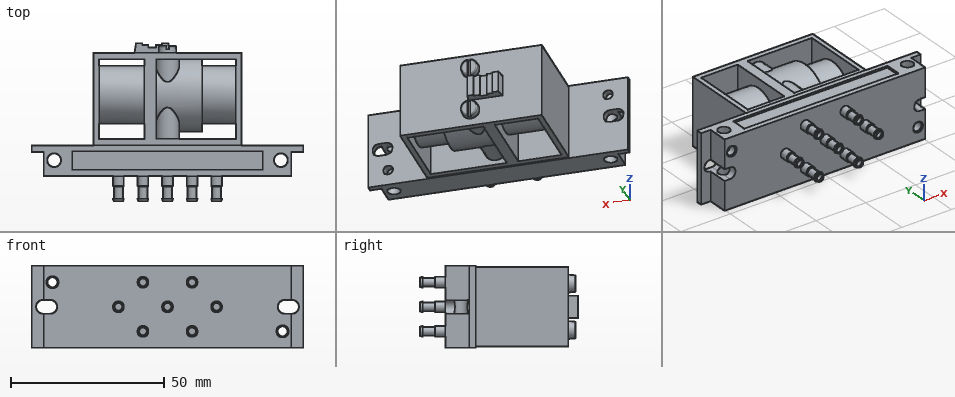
import cadquery as cq


flange_length = 88.5
flange_thickness = 2.2
block_length = 80.8
plate_depth = 10.0
plate_height = 26.8

clearance_diameter = 4.4
cross_hole_x = 36.95
cross_hole_y = -4.85
slot_x = 39.4
slot_length = 6.8
tapped_diameter = 3.24
tapped_countersink = 4.0
tapped_x = 37.5
tapped_z = 8.0
label_length = 62.1
label_width = 6.1
label_y = -4.95
label_depth = 0.7

nipple_pitch = 16.0
nipple_row_spacing = 8.0
nipple_length = 8.3
nipple_diameter = 3.6
shank_diameter = 3.0
bore_diameter = 2.5
root_length = 3.2
root_taper = 0.3
barb_start = 7.4

frame_length = 48.3
frame_depth = 30.1
frame_height = 26.0
side_wall = 1.85
end_wall = 2.1
rib_start_x = -7.55
rib_end_x = -3.6

body_y = 16.5
body_diameter = 19.0
collar_diameter = 24.3
collar_end_x = 11.3
boss_diameter = 7.7
boss_z = 7.57

head_diameter = 5.9
head_height = 2.35
head_fillet = 0.4
head_taper = 4.0
drive_width = 0.9
drive_depth = 1.1

latch_x = -5.0
latch_height = 3.2
latch_base_length = 11.6
latch_top_length = 10.6
latch_width = 7.35
latch_upper_gap = 6.4
latch_shoulder_depth = 0.6
latch_notch_length = 2.5
latch_notch_depth = 1.4


def box(x_range, y_range, z_range):
    """Box between the given (low, high) limits."""
    sizes = [high - low for low, high in (x_range, y_range, z_range)]
    corner = (x_range[0], y_range[0], z_range[0])
    return cq.Workplane("XY").box(*sizes, centered=False).translate(corner)


def centered(size):
    """Limits of a span of the given size about zero."""
    return (-size / 2, size / 2)


def rod_x(diameter, x_start, x_end):
    """Cylinder on the valve body axis."""
    plane = cq.Workplane("YZ", origin=(x_start, body_y, 0))
    return plane.circle(diameter / 2).extrude(x_end - x_start)


def rod_y(diameter, x, z, y_start, y_end):
    """Cylinder parallel to Y."""
    plane = cq.Workplane("XZ", origin=(x, y_start, z))
    return plane.circle(diameter / 2).extrude(y_start - y_end)


def tapped_hole(x, z):
    """Cutter for a tapping hole through the plate with a 90 degree countersink."""
    sink_depth = (tapped_countersink - tapped_diameter) / 2
    hole = rod_y(tapped_diameter, x, z, -plate_depth, 0)
    sink = cq.Solid.makeCone(
        tapped_countersink / 2,
        tapped_diameter / 2,
        sink_depth,
        pnt=cq.Vector(x, -plate_depth, z),
        dir=cq.Vector(0, 1, 0),
    )
    return hole.union(cq.Workplane(obj=sink))


def make_plate():
    flange = box(centered(flange_length), (-flange_thickness, 0), centered(plate_height))
    block = box(centered(block_length), (-plate_depth, 0), centered(plate_height))
    plate = flange.union(block)
    for side in (-1, 1):
        cross_hole = (
            cq.Workplane("XY", origin=(side * cross_hole_x, cross_hole_y, -plate_height / 2))
            .circle(clearance_diameter / 2)
            .extrude(plate_height)
        )
        mounting_slot = (
            cq.Workplane("XZ", origin=(side * slot_x, 0, 0))
            .slot2D(slot_length, clearance_diameter)
            .extrude(plate_depth)
        )
        plate = plate.cut(cross_hole).cut(mounting_slot)
        plate = plate.cut(tapped_hole(side * tapped_x, -side * tapped_z))
    top = plate_height / 2
    label_recess = box(
        centered(label_length),
        (label_y - label_width / 2, label_y + label_width / 2),
        (top - label_depth, top),
    )
    return plate.cut(label_recess)


def make_nipple(x, z):
    """Barbed hose nipple, bored over its own length and pointing towards -Y."""
    outer = nipple_diameter / 2
    shank = shank_diameter / 2
    bore = bore_diameter / 2
    profile = [
        (bore, 0),
        (outer, 0),
        (outer, root_length),
        (shank, root_length + root_taper),
        (shank, barb_start),
        (outer, barb_start),
        (shank, nipple_length),
        (bore, nipple_length),
    ]
    nipple = cq.Workplane("XY").polyline(profile).close().revolve(360, (0, 0, 0), (0, 1, 0))
    return nipple.rotate((0, 0, 0), (0, 0, 1), 180).translate((x, -plate_depth, z))


def make_frame():
    frame = box(centered(frame_length), (0, frame_depth), centered(frame_height))
    inner_end_x = frame_length / 2 - side_wall
    opening_y = (end_wall, frame_depth - end_wall)
    for opening_x in ((-inner_end_x, rib_start_x), (rib_end_x, inner_end_x)):
        frame = frame.cut(box(opening_x, opening_y, centered(frame_height)))
    return frame


def make_body():
    """Valve body with its collar and the two screw bosses that cross it."""
    wall_x = frame_length / 2 - side_wall / 2
    body = rod_x(body_diameter, -wall_x, wall_x)
    body = body.union(rod_x(collar_diameter, rib_end_x, collar_end_x))
    boss_y = (end_wall / 2, frame_depth - end_wall / 2)
    for z in (-boss_z, boss_z):
        boss = rod_y(boss_diameter, 0, z, *boss_y)
        rib_trim = box((-boss_diameter, rib_end_x), (0, frame_depth), centered(frame_height))
        body = body.union(boss.cut(rib_trim))
    return body


def make_screw_head(z):
    end_y = frame_depth + head_height
    plane = cq.Workplane("XZ", origin=(0, frame_depth, z))
    head = plane.circle(head_diameter / 2).extrude(-head_height, taper=head_taper)
    head = head.faces(">Y").edges().fillet(head_fillet)
    drive_z = (z - head_diameter / 2, z + head_diameter / 2)
    return head.cut(box(centered(drive_width), (end_y - drive_depth, end_y), drive_z))


def make_latch():
    """Tapered prism with a stepped notch across its top."""
    shoulder = latch_height - latch_shoulder_depth
    floor = latch_height - latch_notch_depth
    right_half = [
        (latch_notch_length / 2, floor),
        (latch_notch_length / 2, shoulder),
        (latch_upper_gap / 2, shoulder),
        (latch_upper_gap / 2, latch_height),
        (latch_top_length / 2, latch_height),
        (latch_base_length / 2, 0),
    ]
    left_half = [(-x, y) for x, y in reversed(right_half)]
    plane = cq.Workplane("XY", origin=(latch_x, frame_depth, -latch_width / 2))
    return plane.polyline(right_half + left_half).close().extrude(latch_width)


result = make_plate().union(make_frame()).union(make_body()).union(make_latch())

for z in (-boss_z, boss_z):
    result = result.union(make_screw_head(z))

for column in (-1, 0, 1):
    result = result.union(make_nipple(column * nipple_pitch, 0))

for x in (-nipple_pitch / 2, nipple_pitch / 2):
    for z in (-nipple_row_spacing, nipple_row_spacing):
        result = result.union(make_nipple(x, z))